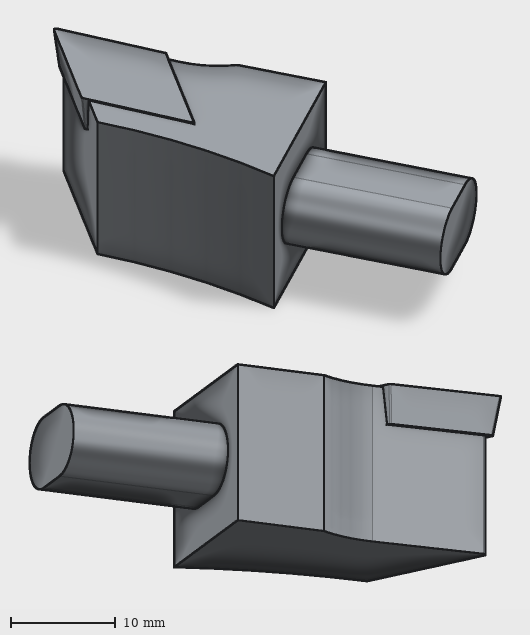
import cadquery as cq
import math

overall_length = 43.3
head_width = 16.0
head_height = 15.68
head_end_x = 27.35
half_width = head_width / 2

front_corner = (8.58, -5.0)
flank_middle = (18.2, -5.8)

relief_radius = 10.83
relief_end_x = 18.4
relief_depth = 1.25
nose_round = 0.3

shank_width = 11.1
shank_thickness = 7.1
shank_axis_z = 7.8

insert_tip_y = 8.0
insert_length = 11.55
insert_side = 11.65
end_edge_angle = -2.5
side_edge_angle = -58.2
insert_thickness = 3.9
insert_top = 15.8
insert_taper = 5.3
insert_corner_round = 0.2


def step(point, angle, distance):
    """Point reached by moving a distance from a point at an angle in degrees."""
    turn = math.radians(angle)
    return (point[0] + distance * math.cos(turn), point[1] + distance * math.sin(turn))


def make_insert():
    """Rhomboid plate narrowing downwards, with every upright corner rounded but the innermost."""
    half_tip_angle = math.radians(end_edge_angle - side_edge_angle) / 2
    bisector_angle = math.radians(end_edge_angle + side_edge_angle) / 2
    center_distance = insert_corner_round / math.sin(half_tip_angle)
    insert_tip = (insert_corner_round - center_distance * math.cos(bisector_angle), insert_tip_y)

    far_tip_corner = step(insert_tip, end_edge_angle, insert_length)
    inner_corner = step(far_tip_corner, side_edge_angle, insert_side)
    near_corner = step(insert_tip, side_edge_angle, insert_side)
    outline = [insert_tip, far_tip_corner, inner_corner, near_corner]
    plate = (
        cq.Workplane("XY", origin=(0, 0, insert_top))
        .polyline(outline)
        .close()
        .extrude(-insert_thickness, taper=insert_taper)
    )
    exposed_edges = plate.edges("not #Z").edges("not >X")
    return exposed_edges.fillet(insert_corner_round)


def make_head():
    """Upright block with a hollow flank, a scooped relief and a rounded nose."""
    relief_low_y = half_width - relief_depth
    relief_half_chord = math.sqrt(relief_depth * (2 * relief_radius - relief_depth))
    relief_center = (relief_end_x - relief_half_chord, relief_low_y + relief_radius)
    relief_start = step(relief_center, end_edge_angle - 90, relief_radius)
    relief_low = (relief_center[0], relief_low_y)

    end_slope = math.tan(math.radians(end_edge_angle))
    side_slope = math.tan(math.radians(side_edge_angle))
    nose_x = (
        relief_start[1] - front_corner[1]
        + side_slope * front_corner[0] - end_slope * relief_start[0]
    ) / (side_slope - end_slope)
    nose = (nose_x, front_corner[1] + side_slope * (nose_x - front_corner[0]))

    block = (
        cq.Workplane("XY")
        .moveTo(*nose)
        .lineTo(*front_corner)
        .threePointArc(flank_middle, (head_end_x, -half_width))
        .lineTo(head_end_x, half_width)
        .lineTo(relief_end_x, half_width)
        .threePointArc(relief_low, relief_start)
        .close()
        .extrude(head_height)
    )
    return block.edges("|Z").edges("<X").fillet(nose_round)


def make_shank():
    """Oblong bar on the back of the head."""
    return (
        cq.Workplane("YZ", origin=(head_end_x, 0, shank_axis_z))
        .slot2D(shank_width, shank_thickness)
        .extrude(overall_length - head_end_x)
    )


insert = make_insert()
holder = make_head().union(make_shank()).cut(insert)

result = cq.Compound.makeCompound([holder.solids().val(), insert.solids().val()])